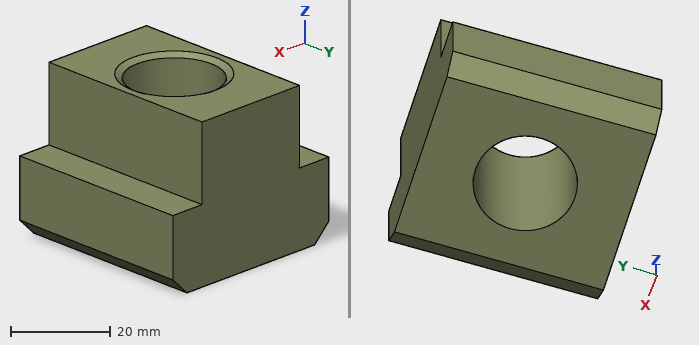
import cadquery as cq

width = 44.0
length = 44.0
height = 36.0
flange_height = 18.0
neck_width = 27.5
edge_chamfer = 4.0
hole_diameter = 21.0
countersink_diameter = 24.0
countersink_depth = 0.9


def t_body():
    """T-shaped block with its lower long edges chamfered, base on Z = 0."""
    flange = (
        cq.Workplane("XY")
        .box(width, length, flange_height, centered=(True, True, False))
        .faces("<Z")
        .edges("|Y")
        .chamfer(edge_chamfer)
    )
    neck = cq.Workplane("XY").box(neck_width, length, height, centered=(True, True, False))
    return flange.union(neck)


def hole_cutter():
    """Through hole with a conical mouth at the top, revolved about Z."""
    hole_radius = hole_diameter / 2
    mouth_radius = countersink_diameter / 2
    return (
        cq.Workplane("XZ")
        .moveTo(0, 0)
        .lineTo(hole_radius, 0)
        .lineTo(hole_radius, height - countersink_depth)
        .lineTo(mouth_radius, height)
        .lineTo(0, height)
        .close()
        .revolve(360, (0, 0, 0), (0, 1, 0))
    )


result = t_body().cut(hole_cutter())